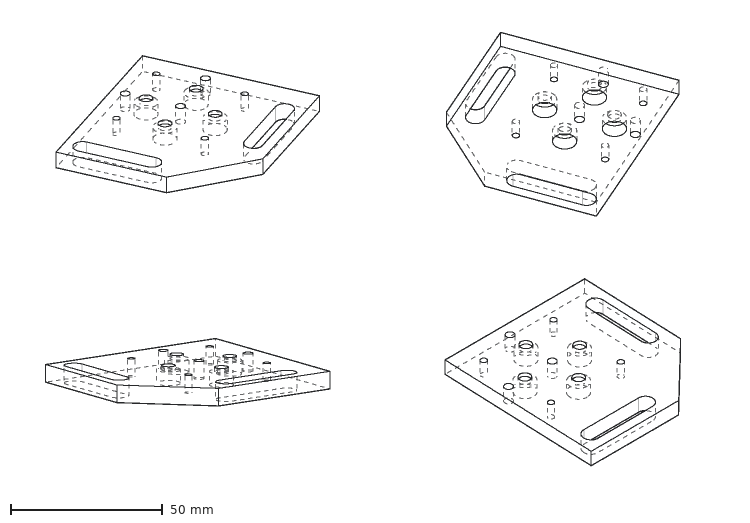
import cadquery as cq

width = 64.0
length = 69.5
thickness = 6.0
pattern_inset = 25.0
corner_cut = 24.0

corner_hole_diameter = 2.4
corner_hole_offset = 16.0
locating_hole_diameter = 3.3
locating_hole_offset = 20.0
screw_hole_diameter = 4.5
screw_hole_offset = 12.5
counterbore_diameter = 8.0
counterbore_depth = 4.5

slot_width = 6.5
slot_travel = 25.0
slot_length = slot_travel + slot_width
side_slot_x = 32.0
front_slot_x = -6.0
front_slot_y = -37.5

left = -pattern_inset
right = left + width
back = pattern_inset
front = back - length


def make_plate():
    outline = [
        (left, front),
        (right - corner_cut, front),
        (right, front + corner_cut),
        (right, back),
        (left, back),
    ]
    return cq.Workplane("XY").polyline(outline).close().extrude(thickness)


def cylinders(centres, diameter, height):
    """Upright cylinders standing on the bottom face."""
    return cq.Workplane("XY").pushPoints(centres).circle(diameter / 2).extrude(height)


def slot(centre, angle):
    return cq.Workplane("XY").center(*centre).slot2D(slot_length, slot_width, angle).extrude(thickness)


corner_holes = [
    (x, y)
    for x in (-corner_hole_offset, corner_hole_offset)
    for y in (-corner_hole_offset, corner_hole_offset)
]
locating_holes = [(0, 0), (-locating_hole_offset, 0), (0, locating_hole_offset)]
screw_holes = [
    (screw_hole_offset, 0),
    (-screw_hole_offset, 0),
    (0, screw_hole_offset),
    (0, -screw_hole_offset),
]

result = (
    make_plate()
    .cut(cylinders(corner_holes, corner_hole_diameter, thickness))
    .cut(cylinders(locating_holes, locating_hole_diameter, thickness))
    .cut(cylinders(screw_holes, screw_hole_diameter, thickness))
    .cut(cylinders(screw_holes, counterbore_diameter, counterbore_depth))
    .cut(slot((side_slot_x, 0), 90))
    .cut(slot((front_slot_x, front_slot_y), 0))
)